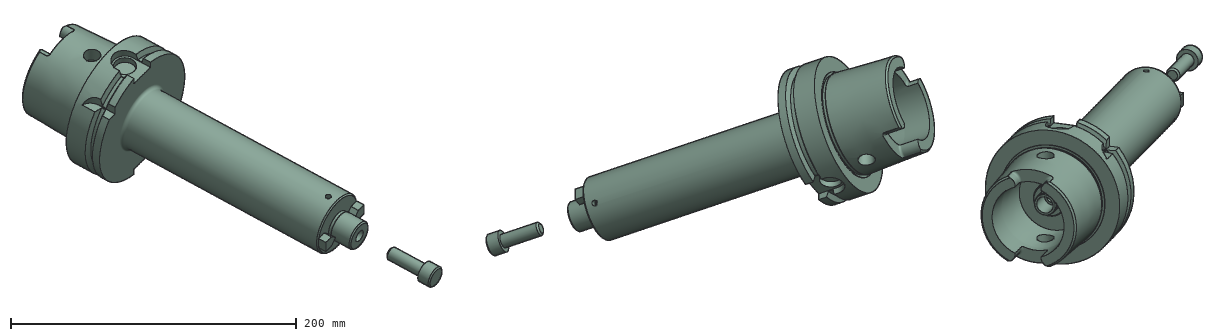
import cadquery as cq
import math

TOTAL_LENGTH = 335.0

FLANGE_START = 50.0
SHANK_END_RADIUS = 35.5
SHANK_BASE_RADIUS = 37.5
SHANK_END_CHAMFER = 1.5
NECK_START = 48.0
NECK_DROP = 0.7

MOUTH_RADIUS = 26.8
BORE_FLOOR_RADIUS = 24.8
MOUTH_LENGTH = 19.8
BORE_FLOOR = FLANGE_START

BOSS_RADIUS = 12.0
BOSS_START = 43.2
BOSS_CHAMFER = 0.7
TUBE_RADIUS = 8.0
TUBE_TIP_RADIUS = 7.7
TUBE_START = 34.2
TUBE_TIP_LENGTH = 2.7
TUBE_BORE_RADIUS = 6.0
COOLANT_BORE_RADIUS = 4.5

DRIVE_SLOT_WIDTH = 19.5
DRIVE_SLOT_ROUNDING = 6.0
DRIVE_SLOT_FLOOR_FILLET = 1.7
TOP_SLOT_DEPTH = 9.0
BOTTOM_SLOT_DEPTH = 14.7

ACCESS_HOLE_DIAMETER = 12.0
ACCESS_HOLE_X = 35.5
ACCESS_HOLE_START = 13.5

FLANGE_RADIUS = 100.0 / 2
FLANGE_END = 79.0
GROOVE_CENTRE_X = 69.7
GROOVE_TOP_WIDTH = 6.5
GROOVE_FLOOR_WIDTH = 3.5
GROOVE_FLOOR_RADIUS = 45.5
FACE_RECESS_RADIUS = 39.0
FACE_RECESS_DEPTH = 0.7

GRIPPER_SLOT_WIDTH = 19.5
GRIPPER_SLOT_FLOOR = 44.0
GRIPPER_SLOT_CENTRE_X = 64.0
CHIP_HOLE_DIAMETER = 16.0
CHIP_HOLE_DEPTH = 4.7

NOTCH_OFFSET = 31.8
NOTCH_ARC_START = 65.0
NOTCH_ARC_RADIUS = 10.0

ARBOR_RADIUS = 23.5
ARBOR_END = 249.2
ARBOR_END_CHAMFER = 1.0
ROOT_FILLET = 2.7

SIDE_HOLE_DIAMETER = 4.0
SIDE_HOLE_X = 241.2
SIDE_HOLE_DEPTH = 5.0
SIDE_HOLE_CORE_DIAMETER = 2.5
SIDE_HOLE_CORE_DEPTH = 10.0
SIDE_HOLE_ANGLES = (90, 210, 330)

PILOT_RADIUS = 11.0
PILOT_END = 268.5
PILOT_CHAMFER = 1.0
RELIEF_RADIUS = 10.7
RELIEF_WIDTH = 2.5

LUG_WIDTH = 9.5
LUG_OUTER = 22.5
LUG_SHOULDER = 15.7
LUG_HEIGHT = 6.5

SCREW_RADIUS = 5.0
SCREW_TIP_X = 294.8
SCREW_TIP_CHAMFER = 1.5
SCREW_HEAD_RADIUS = 8.0
SCREW_HEAD_HEIGHT = 10.0
SCREW_HEAD_CHAMFER = 1.0


def revolve_about_x(points):
    """Turn an outline of (x, radius) points around the X axis."""
    outline = cq.Workplane("XY").polyline(points).close()
    return outline.revolve(360, (0, 0, 0), (1, 0, 0))


def cylinder_along_z(x, diameter, z_from, z_to):
    """Make an upright cylinder on the plane Y = 0."""
    base = cq.Workplane("XY", origin=(x, 0, z_from))
    return base.circle(diameter / 2).extrude(z_to - z_from)


def turned_outside():
    """Make the shank, flange, arbor and pilot as one turned shape."""
    taper = (SHANK_BASE_RADIUS - SHANK_END_RADIUS) / NECK_START
    chamfer_radius = SHANK_END_RADIUS + taper * SHANK_END_CHAMFER
    neck_radius = SHANK_BASE_RADIUS - NECK_DROP
    recess_floor = FLANGE_START + FACE_RECESS_DEPTH
    relief_end = ARBOR_END + RELIEF_WIDTH
    outline = (
        cq.Workplane("XY")
        .moveTo(0, 0)
        .lineTo(0, SHANK_END_RADIUS - SHANK_END_CHAMFER)
        .lineTo(SHANK_END_CHAMFER, chamfer_radius)
        .lineTo(NECK_START, SHANK_BASE_RADIUS)
        .lineTo(NECK_START + NECK_DROP, neck_radius)
        .lineTo(recess_floor, neck_radius)
        .lineTo(recess_floor, FACE_RECESS_RADIUS)
        .lineTo(FLANGE_START, FACE_RECESS_RADIUS)
        .lineTo(FLANGE_START, FLANGE_RADIUS)
        .lineTo(GROOVE_CENTRE_X - GROOVE_TOP_WIDTH / 2, FLANGE_RADIUS)
        .lineTo(GROOVE_CENTRE_X - GROOVE_FLOOR_WIDTH / 2, GROOVE_FLOOR_RADIUS)
        .lineTo(GROOVE_CENTRE_X + GROOVE_FLOOR_WIDTH / 2, GROOVE_FLOOR_RADIUS)
        .lineTo(GROOVE_CENTRE_X + GROOVE_TOP_WIDTH / 2, FLANGE_RADIUS)
        .lineTo(FLANGE_END, FLANGE_RADIUS)
        .lineTo(FLANGE_END, ARBOR_RADIUS + ROOT_FILLET)
        .radiusArc((FLANGE_END + ROOT_FILLET, ARBOR_RADIUS), -ROOT_FILLET)
        .lineTo(ARBOR_END - ARBOR_END_CHAMFER, ARBOR_RADIUS)
        .lineTo(ARBOR_END, ARBOR_RADIUS - ARBOR_END_CHAMFER)
        .lineTo(ARBOR_END, RELIEF_RADIUS)
        .lineTo(relief_end, RELIEF_RADIUS)
        .lineTo(relief_end, PILOT_RADIUS)
        .lineTo(PILOT_END - PILOT_CHAMFER, PILOT_RADIUS)
        .lineTo(PILOT_END, PILOT_RADIUS - PILOT_CHAMFER)
        .lineTo(PILOT_END, 0)
        .close()
    )
    return outline.revolve(360, (0, 0, 0), (1, 0, 0))


def shank_bore():
    """Make the hollow of the shank, which leaves the tube and its boss standing."""
    return revolve_about_x([
        (0, 0),
        (0, MOUTH_RADIUS),
        (MOUTH_LENGTH, MOUTH_RADIUS),
        (BORE_FLOOR, BORE_FLOOR_RADIUS),
        (BORE_FLOOR, BOSS_RADIUS),
        (BOSS_START + BOSS_CHAMFER, BOSS_RADIUS),
        (BOSS_START, BOSS_RADIUS - BOSS_CHAMFER),
        (BOSS_START, TUBE_RADIUS),
        (TUBE_START + TUBE_TIP_LENGTH, TUBE_RADIUS),
        (TUBE_START + TUBE_TIP_LENGTH, TUBE_TIP_RADIUS),
        (TUBE_START, TUBE_TIP_RADIUS),
        (TUBE_START, 0),
    ])


def coolant_bore():
    """Make the bore from the tube tip to the pilot end, wider inside the tube."""
    return revolve_about_x([
        (TUBE_START, 0),
        (TUBE_START, TUBE_BORE_RADIUS),
        (BORE_FLOOR, TUBE_BORE_RADIUS),
        (BORE_FLOOR, COOLANT_BORE_RADIUS),
        (PILOT_END, COOLANT_BORE_RADIUS),
        (PILOT_END, 0),
    ])


def drive_slot(depth):
    """Make an upper drive slot whose long edges flare out to the shank surface."""
    half_width = DRIVE_SLOT_WIDTH / 2
    flare_half_width = half_width + DRIVE_SLOT_ROUNDING
    flare_end = math.sqrt(SHANK_END_RADIUS**2 - flare_half_width**2)
    flare_start = flare_end - DRIVE_SLOT_ROUNDING
    top = SHANK_BASE_RADIUS
    return (
        cq.Workplane("YZ")
        .moveTo(-half_width, 0)
        .lineTo(-half_width, flare_start)
        .radiusArc((-flare_half_width, flare_end), -DRIVE_SLOT_ROUNDING)
        .lineTo(-flare_half_width, top)
        .lineTo(flare_half_width, top)
        .lineTo(flare_half_width, flare_end)
        .radiusArc((half_width, flare_start), -DRIVE_SLOT_ROUNDING)
        .lineTo(half_width, 0)
        .close()
        .extrude(depth)
        .faces(">X")
        .edges()
        .fillet(DRIVE_SLOT_FLOOR_FILLET)
    )


def access_hole():
    """Make the upper radial hole, from the hollow of the shank out through its wall."""
    return cylinder_along_z(ACCESS_HOLE_X, ACCESS_HOLE_DIAMETER, ACCESS_HOLE_START, SHANK_BASE_RADIUS)


def gripper_slot():
    """Make the upper gripper slot, with the round chip hole in its floor."""
    half_width = GRIPPER_SLOT_WIDTH / 2
    slot = (
        cq.Workplane("XY", origin=(0, 0, GRIPPER_SLOT_FLOOR))
        .moveTo(FLANGE_END, -half_width)
        .lineTo(GRIPPER_SLOT_CENTRE_X, -half_width)
        .threePointArc(
            (GRIPPER_SLOT_CENTRE_X - half_width, 0),
            (GRIPPER_SLOT_CENTRE_X, half_width),
        )
        .lineTo(FLANGE_END, half_width)
        .close()
        .extrude(FLANGE_RADIUS - GRIPPER_SLOT_FLOOR)
    )
    hole_floor = GRIPPER_SLOT_FLOOR - CHIP_HOLE_DEPTH
    return slot.union(cylinder_along_z(GRIPPER_SLOT_CENTRE_X, CHIP_HOLE_DIAMETER, hole_floor, FLANGE_RADIUS))


def orientation_notch():
    """Make the square notch in the rim, with an end wall that curves out to the rim."""
    depth = FLANGE_RADIUS - NOTCH_OFFSET
    return (
        cq.Workplane("XY", origin=(0, 0, NOTCH_OFFSET))
        .moveTo(FLANGE_END, -NOTCH_OFFSET)
        .lineTo(NOTCH_ARC_START, -NOTCH_OFFSET)
        .radiusArc((NOTCH_ARC_START - NOTCH_ARC_RADIUS, -NOTCH_OFFSET - NOTCH_ARC_RADIUS), -NOTCH_ARC_RADIUS)
        .lineTo(NOTCH_ARC_START - NOTCH_ARC_RADIUS, -FLANGE_RADIUS)
        .lineTo(FLANGE_END, -FLANGE_RADIUS)
        .close()
        .extrude(depth)
    )


def side_hole(angle):
    """Make a stepped blind radial hole in the arbor at an angle measured from +Y toward +Z."""
    mouth = cylinder_along_z(SIDE_HOLE_X, SIDE_HOLE_DIAMETER, ARBOR_RADIUS - SIDE_HOLE_DEPTH, ARBOR_RADIUS)
    core_floor = ARBOR_RADIUS - SIDE_HOLE_CORE_DEPTH
    core = cylinder_along_z(SIDE_HOLE_X, SIDE_HOLE_CORE_DIAMETER, core_floor, ARBOR_RADIUS)
    return mouth.union(core).rotate((0, 0, 0), (1, 0, 0), angle - 90)


def driving_lug():
    """Make the lug on the +Y side, with its inner end pointed toward the pilot."""
    half_width = LUG_WIDTH / 2
    return (
        cq.Workplane("YZ", origin=(ARBOR_END, 0, 0))
        .polyline([
            (LUG_OUTER, -half_width),
            (LUG_OUTER, half_width),
            (LUG_SHOULDER, half_width),
            (LUG_SHOULDER - half_width, 0),
            (LUG_SHOULDER, -half_width),
        ])
        .close()
        .extrude(LUG_HEIGHT)
    )


def half_turn(shape):
    """Turn a shape to the opposite side of the X axis."""
    return shape.rotate((0, 0, 0), (1, 0, 0), 180)


def make_holder():
    """Make the tool holder: the turned shape with its bores, slots, holes and lugs."""
    holder = turned_outside().cut(shank_bore()).cut(coolant_bore())
    holder = holder.cut(drive_slot(TOP_SLOT_DEPTH)).cut(half_turn(drive_slot(BOTTOM_SLOT_DEPTH)))

    for paired_cut in (access_hole(), gripper_slot()):
        holder = holder.cut(paired_cut).cut(half_turn(paired_cut))

    holder = holder.cut(orientation_notch())
    for angle in SIDE_HOLE_ANGLES:
        holder = holder.cut(side_hole(angle))
    return holder.union(driving_lug()).union(half_turn(driving_lug()))


def make_screw():
    """Make the cap screw that stands off the pilot end."""
    head_start = TOTAL_LENGTH - SCREW_HEAD_HEIGHT
    return revolve_about_x([
        (SCREW_TIP_X, 0),
        (SCREW_TIP_X, SCREW_RADIUS - SCREW_TIP_CHAMFER),
        (SCREW_TIP_X + SCREW_TIP_CHAMFER, SCREW_RADIUS),
        (head_start, SCREW_RADIUS),
        (head_start, SCREW_HEAD_RADIUS),
        (TOTAL_LENGTH - SCREW_HEAD_CHAMFER, SCREW_HEAD_RADIUS),
        (TOTAL_LENGTH, SCREW_HEAD_RADIUS - SCREW_HEAD_CHAMFER),
        (TOTAL_LENGTH, 0),
    ])


holder = make_holder()
screw = make_screw()
result = cq.Compound.makeCompound([holder.val(), screw.val()])